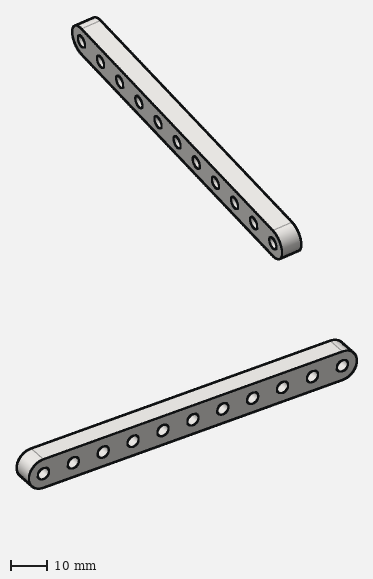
import cadquery as cq

length = 107.3
thickness = 6.3
height = 9.5
hole_count = 11
hole_diameter = 3.6

end_hole_span = length - height
hole_pitch = end_hole_span / (hole_count - 1)

bar = cq.Workplane("XZ").slot2D(length, height).extrude(thickness / 2, both=True)

holes = (
    cq.Workplane("XZ")
    .rarray(hole_pitch, height, hole_count, 1)
    .circle(hole_diameter / 2)
    .extrude(thickness, both=True)
)

result = bar.cut(holes)